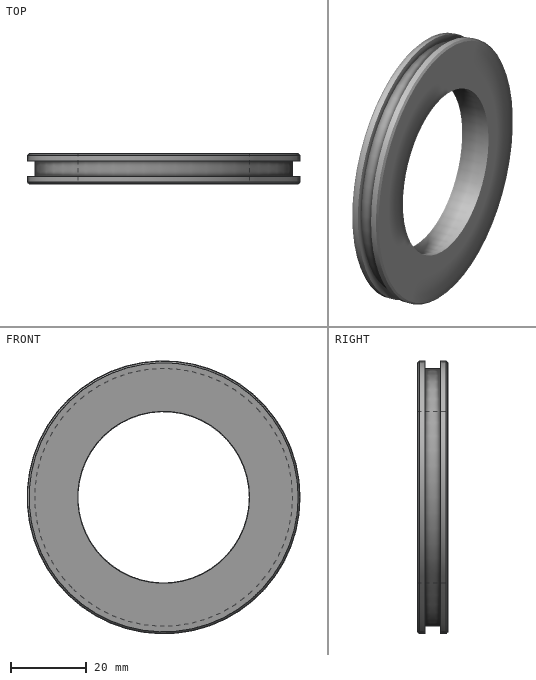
import cadquery as cq

outer_diameter = 72.0
bore_diameter = 45.2
width = 8.0
groove_diameter = 68.05
groove_width = 4.0
edge_chamfer = 0.5


def disc(diameter, length):
    """Solid cylinder on the Y axis, centred on the XZ plane."""
    return cq.Workplane("XZ").cylinder(length, diameter / 2)


blank = disc(outer_diameter, width).edges("%CIRCLE").chamfer(edge_chamfer)
ring = blank.cut(disc(bore_diameter, width))

groove = disc(outer_diameter, groove_width).cut(disc(groove_diameter, groove_width))

result = ring.cut(groove)